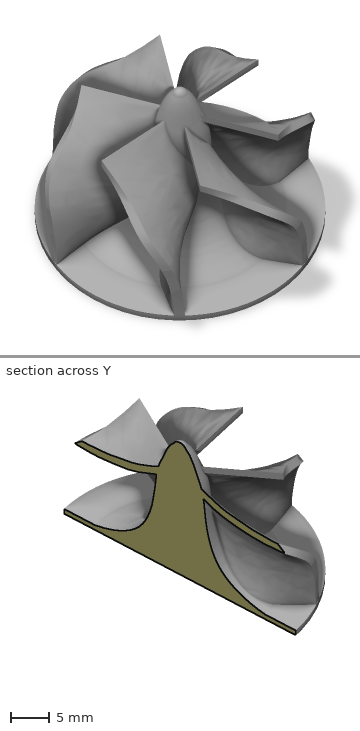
import cadquery as cq
import math

disc_radius = 19.0
disc_thickness = 0.95
total_height = 24.0
blade_count = 6
blade_top = 20.0
leading_edge_height = 1.15
leading_edge_bottom = blade_top - leading_edge_height

hub_base_radius = 14.0
nose_cap_radius = 1.007
nose_cap_start = 23.37
hub_flank = [
    (10.83, 1.85),
    (6.75, 4.8),
    (5.05, 8.3),
    (4.18, 13.07),
    (3.42, 18.13),
    (2.75, blade_top),
    (2.13, 21.65),
    (nose_cap_radius, nose_cap_start),
]

foot_depth = 0.38
blade_foot = disc_thickness - foot_depth
tip_radius_top = 13.6
root_radius_top = 2.28
root_radius_foot = 13.5
first_blade_angle = -90.0

upper_root = [
    (root_radius_top, 0, blade_top),
    (3.05, 27, 18.13),
    (3.65, 69, 14.63),
    (4.18, 87, 11.35),
    (4.67, 83, 8.3),
    (6.45, 57.5, 4.75),
    (10.37, 44, 1.8),
    (root_radius_foot, 44, blade_foot),
]
lower_root = [
    (root_radius_top, 0, leading_edge_bottom),
    (3.2, 28, 16.53),
    (3.8, 57, 13.07),
    (4.25, 65.5, 10.5),
    (4.67, 62.5, 8.3),
    (6.08, 48, 5.32),
    (9.88, 35, 2.1),
    (root_radius_foot, 36.7, blade_foot),
]
upper_tip = [
    (tip_radius_top, 0, blade_top),
    (13.68, 11.5, 18.13),
    (14.75, 23.7, 16.15),
    (17.9, 37.6, 13.07),
    (18.92, 44.8, 10.35),
    (disc_radius, 49.3, 5.9),
    (disc_radius, 50.9, blade_foot),
]
lower_tip = [
    (tip_radius_top, 0, leading_edge_bottom),
    (13.85, 9, 17.48),
    (14.75, 17.7, 16.15),
    (17.9, 32.8, 13.07),
    (18.9, 40.2, 10.35),
    (disc_radius, 45.5, 4.95),
    (disc_radius, 46.7, blade_foot),
]


def cylindrical_point(radius, sweep, height):
    angle = math.radians(first_blade_angle + sweep)
    return cq.Vector(radius * math.cos(angle), radius * math.sin(angle), height)


def make_hub():
    """Disc, flared hub and rounded nose as one revolved body."""
    cap_height = total_height - nose_cap_start
    cap_sphere_radius = (nose_cap_radius**2 + cap_height**2) / (2 * cap_height)
    half_angle = math.asin(nose_cap_radius / cap_sphere_radius) / 2
    cap_midpoint = (
        cap_sphere_radius * math.sin(half_angle),
        total_height - cap_sphere_radius * (1 - math.cos(half_angle)),
    )
    return (
        cq.Workplane("XZ")
        .lineTo(disc_radius, 0)
        .lineTo(disc_radius, disc_thickness)
        .lineTo(hub_base_radius, disc_thickness)
        .spline(hub_flank, includeCurrent=True)
        .threePointArc(cap_midpoint, (0, total_height))
        .close()
        .revolve(360, (0, 0), (0, 1))
    )


def make_blade():
    """Twisted blade bounded by ruled faces between its four long edges."""
    outlines = [upper_root, upper_tip, lower_tip, lower_root]
    corner_lines = [[cylindrical_point(*station) for station in line] for line in outlines]
    edges = [cq.Edge.makeSpline(points) for points in corner_lines]
    faces = []
    for index, edge in enumerate(edges):
        neighbour = (index + 1) % len(edges)
        faces.append(cq.Face.makeRuledSurface(edge, edges[neighbour]))
    for end in (0, -1):
        corners = [points[end] for points in corner_lines]
        outline = cq.Wire.makePolygon(corners, close=True)
        faces.append(cq.Face.makeFromWires(outline))
    return cq.Workplane(cq.Solid.makeSolid(cq.Shell.makeShell(faces)).fix())


def make_impeller():
    impeller = make_hub()
    blade = make_blade()
    for index in range(blade_count):
        turn = index * 360 / blade_count
        impeller = impeller.union(blade.rotate((0, 0, 0), (0, 0, 1), turn))
    envelope = cq.Workplane("XY").circle(disc_radius).extrude(total_height)
    return impeller.intersect(envelope)


result = make_impeller()